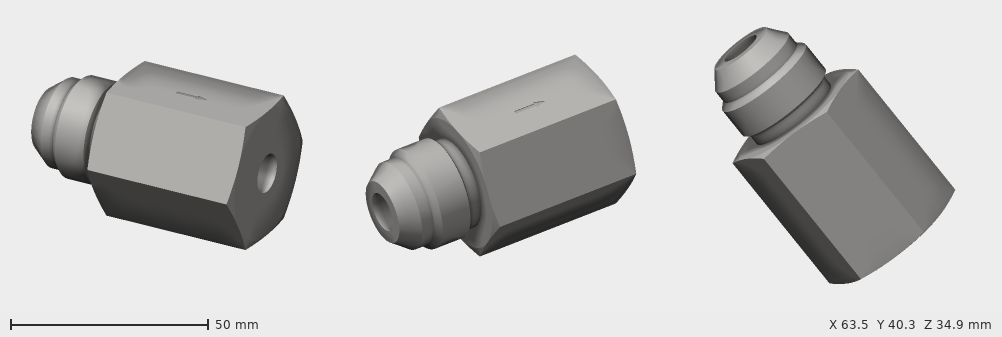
import cadquery as cq
import math

overall_length = 63.5
bore_diameter = 10.31

hex_across_flats = 34.925
hex_across_corners = hex_across_flats / math.cos(math.radians(30))
hex_start = 21.92
hex_length = overall_length - hex_start
hex_chamfer_angle = 75

nose_diameter = 23.7
flare_length = 4.65
flare_angle = 37
thread_diameter = 26.98
thread_start = 9.67
thread_end = 17.9
lead_in_angle = 45
neck_diameter = 24.05
runout_angle = 60

arrow_start = 38.2
arrow_head_start = 44.1
arrow_tip = 47.0
arrow_center_y = -1.4
arrow_shaft_width = 1.0
arrow_head_width = 2.04
arrow_depth = 0.2


def rise(length, angle):
    """Radial rise of a cone that runs a given length along the axis."""
    return length * math.tan(math.radians(angle))


def run(height, angle):
    """Axial length of a cone that rises a given height."""
    return height / math.tan(math.radians(angle))


def revolve_about_x(points):
    """Solid of revolution from a closed (x, radius) outline."""
    return cq.Workplane("XY").polyline(points).close().revolve(360, (0, 0, 0), (1, 0, 0))


def make_nose():
    """Flared nose, thread land and neck, reaching the front face of the hexagon."""
    nose_radius = nose_diameter / 2
    thread_radius = thread_diameter / 2
    neck_radius = neck_diameter / 2
    lead_in_start = thread_start - run(thread_radius - nose_radius, lead_in_angle)
    runout_end = thread_end + run(thread_radius - neck_radius, runout_angle)
    return revolve_about_x([
        (0, 0),
        (0, nose_radius - rise(flare_length, flare_angle)),
        (flare_length, nose_radius),
        (lead_in_start, nose_radius),
        (thread_start, thread_radius),
        (thread_end, thread_radius),
        (runout_end, neck_radius),
        (hex_start, neck_radius),
        (hex_start, 0),
    ])


def make_hex_body():
    """Hexagonal prism with flats at +Z and -Z and conically chamfered ends."""
    prism = (
        cq.Workplane("YZ")
        .workplane(offset=hex_start)
        .polygon(6, hex_across_corners)
        .extrude(hex_length)
    )
    face_radius = hex_across_flats / 2
    outer_radius = hex_across_corners
    cone_length = run(outer_radius - face_radius, hex_chamfer_angle)
    envelope = revolve_about_x([
        (hex_start, 0),
        (hex_start, face_radius),
        (hex_start + cone_length, outer_radius),
        (overall_length - cone_length, outer_radius),
        (overall_length, face_radius),
        (overall_length, 0),
    ])
    return prism.intersect(envelope)


def make_bore():
    """Through bore along the axis."""
    return cq.Workplane("YZ").circle(bore_diameter / 2).extrude(overall_length)


def make_flow_arrow():
    """Arrow pointing to +X, sunk into the top flat."""
    half_shaft = arrow_shaft_width / 2
    half_head = arrow_head_width / 2
    return (
        cq.Workplane("XY", origin=(0, arrow_center_y, hex_across_flats / 2))
        .polyline([
            (arrow_start, -half_shaft),
            (arrow_head_start, -half_shaft),
            (arrow_head_start, -half_head),
            (arrow_tip, 0),
            (arrow_head_start, half_head),
            (arrow_head_start, half_shaft),
            (arrow_start, half_shaft),
        ])
        .close()
        .extrude(-arrow_depth)
    )


fitting = make_nose().union(make_hex_body())
result = fitting.cut(make_bore()).cut(make_flow_arrow())